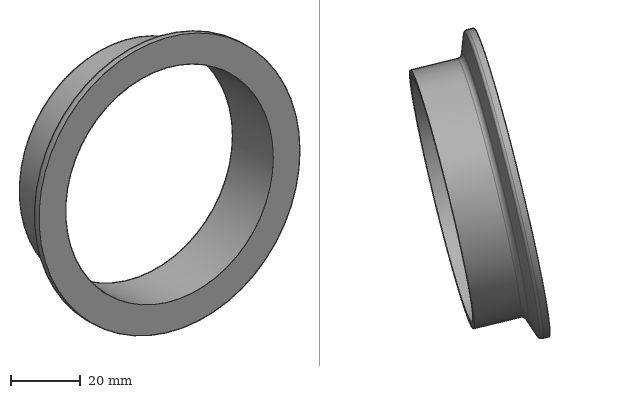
import cadquery as cq
import math

length = 20.5
bore_diameter = 72.3
tube_diameter = 76.3
flange_diameter = 91.0
rim_edge_width = 2.0
cone_angle = 20.0
root_radius = 1.8
rim_radius = 1.0

bore_radius = bore_diameter / 2
tube_radius = tube_diameter / 2
flange_radius = flange_diameter / 2


def arc_offset(radius, turn):
    """Axial and radial travel along an arc that starts parallel to the axis."""
    return radius * math.sin(turn), radius * (1 - math.cos(turn))


full_turn = math.radians(90 - cone_angle)
half_turn = full_turn / 2
root_dx, root_dr = arc_offset(root_radius, full_turn)
root_mid_dx, root_mid_dr = arc_offset(root_radius, half_turn)
rim_dx, rim_dr = arc_offset(rim_radius, full_turn)
rim_mid_dx, rim_mid_dr = arc_offset(rim_radius, half_turn)

rim_end_x = length - rim_edge_width
cone_end_x = rim_end_x - rim_dx
cone_end_radius = flange_radius - rim_dr
cone_start_radius = tube_radius + root_dr
cone_start_x = cone_end_x - (cone_end_radius - cone_start_radius) * math.tan(math.radians(cone_angle))
tube_end_x = cone_start_x - root_dx

profile = (
    cq.Workplane("XY")
    .moveTo(0, bore_radius)
    .lineTo(0, tube_radius)
    .lineTo(tube_end_x, tube_radius)
    .threePointArc(
        (tube_end_x + root_mid_dx, tube_radius + root_mid_dr),
        (cone_start_x, cone_start_radius),
    )
    .lineTo(cone_end_x, cone_end_radius)
    .threePointArc(
        (rim_end_x - rim_mid_dx, flange_radius - rim_mid_dr),
        (rim_end_x, flange_radius),
    )
    .lineTo(length, flange_radius)
    .lineTo(length, bore_radius)
    .close()
)

result = profile.revolve(360, (0, 0, 0), (1, 0, 0))